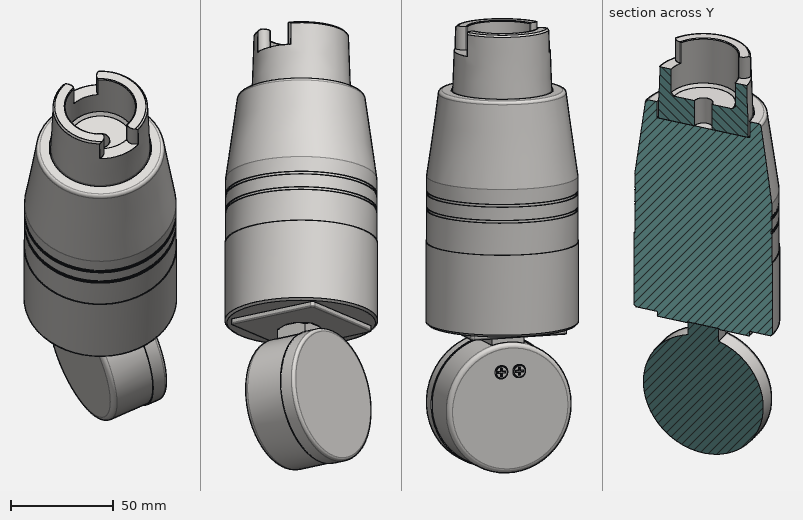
import cadquery as cq
import math

total_height = 220.0
sleeve_bottom = 73.0
sleeve_top = 113.8
cone_bottom = 146.3
shoulder_top = 188.8

sleeve_radius = 37.3
barrel_radius = 37.0
shoulder_radius = 31.0
shoulder_fillet = 1.8
sleeve_edge_chamfer = 1.0
groove_levels = (130.3, 138.2)
groove_width = 1.3
groove_depth = 0.5
socket_seat_depth = 8.8
socket_seat_gap = 0.7

socket_base_radius = 24.2
socket_top_radius = 23.0
socket_rim_chamfer = 0.9
bore_radius = 17.2
bore_depth = 26.2
bore_floor_chamfer = 1.5
bore_rim_chamfer = 0.5
floor_hole_radius = 4.6
slot_width = 13.0
slot_depth = 11.7
slot_mouth_radius = 4.0
socket_turn = -3.6

flange_width = 49.7
flange_thickness = 2.6
flange_corner_fillet = 1.5
flange_edge_fillet = 0.7

neck_width = 16.7
neck_chamfer_angle = 30.0
neck_depth_in_flange = 0.5

disc_front = -11.5
disc_step = 11.0
disc_back = 19.1
disc_radius = 32.3
disc_rim_diameter = 65.8
disc_front_fillet = 2.5
disc_back_fillet = 1.5

screw_spacing = 9.2
screw_height = 18.3
screw_radius = 3.3
screw_head_rise = 0.7
screw_head_chamfer = 0.5
screw_length = 6.5
cross_length = 4.0
cross_width = 0.9
cross_depth = 0.7

disc_rim_radius = disc_rim_diameter / 2
disc_centre_z = disc_rim_radius
flange_bottom = sleeve_bottom - flange_thickness
neck_top = flange_bottom + neck_depth_in_flange
screw_z = disc_centre_z + screw_height
screw_places = (-screw_spacing / 2, screw_spacing / 2)
seat_floor = shoulder_top - socket_seat_depth


def make_housing():
    """Turned body: plain sleeve, grooved barrel and tapered shoulder with a seat for the socket."""
    body = (
        cq.Workplane("XZ")
        .moveTo(0, sleeve_bottom)
        .lineTo(sleeve_radius - sleeve_edge_chamfer, sleeve_bottom)
        .lineTo(sleeve_radius, sleeve_bottom + sleeve_edge_chamfer)
        .lineTo(sleeve_radius, sleeve_top)
        .lineTo(barrel_radius, sleeve_top)
        .lineTo(barrel_radius, cone_bottom)
        .lineTo(shoulder_radius, shoulder_top)
        .lineTo(0, shoulder_top)
        .close()
        .revolve(360, (0, 0, 0), (0, 1, 0))
        .faces(">Z")
        .edges()
        .fillet(shoulder_fillet)
    )
    for level in groove_levels:
        groove = (
            cq.Workplane("XY", origin=(0, 0, level - groove_width / 2))
            .circle(sleeve_radius)
            .circle(barrel_radius - groove_depth)
            .extrude(groove_width)
        )
        body = body.cut(groove)
    seat = (
        cq.Workplane("XY", origin=(0, 0, seat_floor))
        .circle(socket_base_radius + socket_seat_gap)
        .extrude(socket_seat_depth)
    )
    return body.cut(seat)


def make_slot():
    """Cutter for both rim slots, with mouths that flare out in rounds on the outer wall."""
    half_width = slot_width / 2
    flare_width = half_width + slot_mouth_radius
    flare_end = math.sqrt(socket_top_radius**2 - flare_width**2)
    flare_start = flare_end - slot_mouth_radius
    bend = slot_mouth_radius * math.sqrt(0.5)
    half = (
        cq.Workplane("XY", origin=(0, 0, total_height - slot_depth))
        .moveTo(0, -half_width)
        .lineTo(flare_start, -half_width)
        .threePointArc((flare_start + bend, -flare_width + bend), (flare_end, -flare_width))
        .lineTo(socket_base_radius, -flare_width)
        .lineTo(socket_base_radius, flare_width)
        .lineTo(flare_end, flare_width)
        .threePointArc((flare_start + bend, flare_width - bend), (flare_start, half_width))
        .lineTo(0, half_width)
        .close()
        .extrude(slot_depth)
    )
    return half.union(half.rotate((0, 0, 0), (0, 0, 1), 180))


def make_socket():
    """Tapered cup with a blind bore, two rim slots and a hole through its floor."""
    bore_floor = total_height - bore_depth
    cup = (
        cq.Workplane("XZ")
        .moveTo(0, seat_floor)
        .lineTo(socket_base_radius, seat_floor)
        .lineTo(socket_base_radius, shoulder_top)
        .lineTo(socket_top_radius, total_height - socket_rim_chamfer)
        .lineTo(socket_top_radius - socket_rim_chamfer, total_height)
        .lineTo(bore_radius + bore_rim_chamfer, total_height)
        .lineTo(bore_radius, total_height - bore_rim_chamfer)
        .lineTo(bore_radius, bore_floor + bore_floor_chamfer)
        .lineTo(bore_radius - bore_floor_chamfer, bore_floor)
        .lineTo(0, bore_floor)
        .close()
        .revolve(360, (0, 0, 0), (0, 1, 0))
    )
    floor_hole = (
        cq.Workplane("XY", origin=(0, 0, seat_floor))
        .circle(floor_hole_radius)
        .extrude(bore_floor - seat_floor)
    )
    cup = cup.cut(make_slot()).cut(floor_hole)
    return cup.rotate((0, 0, 0), (0, 0, 1), 180 + socket_turn)


def make_disc():
    """Round disc along Y, stepped to a slightly wider rim at the back."""
    front = (
        cq.Workplane("XZ", origin=(0, disc_step, disc_centre_z))
        .circle(disc_radius)
        .extrude(disc_step - disc_front)
        .faces("<Y")
        .edges()
        .fillet(disc_front_fillet)
    )
    back = (
        cq.Workplane("XZ", origin=(0, disc_back, disc_centre_z))
        .circle(disc_rim_radius)
        .extrude(disc_back - disc_step)
        .faces(">Y")
        .edges()
        .fillet(disc_back_fillet)
    )
    return front.union(back)


def make_neck():
    """Square neck whose top corners are turned down like those of a bolt head."""
    half_width = neck_width / 2
    corner_radius = half_width * math.sqrt(2)
    corner_drop = (corner_radius - half_width) * math.tan(math.radians(neck_chamfer_angle))
    square = (
        cq.Workplane("XY", origin=(0, 0, disc_centre_z))
        .rect(neck_width, neck_width)
        .extrude(neck_top - disc_centre_z)
    )
    turned = (
        cq.Workplane("XZ")
        .moveTo(0, disc_centre_z)
        .lineTo(corner_radius, disc_centre_z)
        .lineTo(corner_radius, neck_top - corner_drop)
        .lineTo(half_width, neck_top)
        .lineTo(0, neck_top)
        .close()
        .revolve(360, (0, 0, 0), (0, 1, 0))
    )
    return square.intersect(turned)


def make_flange():
    """Square plate with rounded corners and lower edges."""
    return (
        cq.Workplane("XY", origin=(0, 0, flange_bottom))
        .rect(flange_width, flange_width)
        .extrude(flange_thickness)
        .edges("|Z")
        .fillet(flange_corner_fillet)
        .faces("<Z")
        .edges()
        .fillet(flange_edge_fillet)
    )


def make_screw_blank(x):
    """Plain round screw whose head stands proud of the disc face."""
    return (
        cq.Workplane("XZ", origin=(x, disc_front + screw_length, screw_z))
        .circle(screw_radius)
        .extrude(screw_length + screw_head_rise)
    )


def make_screw(x):
    """Screw with a chamfered head and a cross recess."""
    screw = make_screw_blank(x).faces("<Y").edges().chamfer(screw_head_chamfer)
    recess_floor = disc_front - screw_head_rise + cross_depth
    for width, height in ((cross_length, cross_width), (cross_width, cross_length)):
        arm = (
            cq.Workplane("XZ", origin=(x, recess_floor, screw_z))
            .rect(width, height)
            .extrude(cross_depth)
        )
        screw = screw.cut(arm)
    return screw


def make_eye():
    """Neck and disc in one piece, with a hole for each screw."""
    eye = make_neck().union(make_disc())
    for x in screw_places:
        eye = eye.cut(make_screw_blank(x))
    return eye


socket = make_socket()
eye = make_eye()
housing = make_housing().union(make_flange()).cut(make_neck())
screws = [make_screw(x) for x in screw_places]

result = cq.Compound.makeCompound(
    [housing.val(), socket.val(), eye.val(), *[screw.val() for screw in screws]]
)